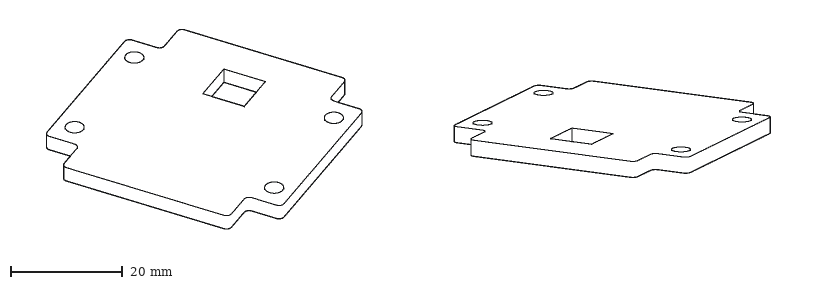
import cadquery as cq

length = 47.5
width = 46.5
thickness = 3.0
corner_notch = 7.0
corner_radius = 1.0

hole_diameter = 3.4
hole_spacing_x = 40.0
hole_spacing_y = 23.5

window_side = 8.3
window_y = hole_spacing_y / 2


def make_plate():
    """Cross-shaped plate with every vertical edge rounded."""
    long_arm = cq.Workplane("XY").box(length, width - 2 * corner_notch, thickness)
    wide_arm = cq.Workplane("XY").box(length - 2 * corner_notch, width, thickness)
    return long_arm.union(wide_arm).edges("|Z").fillet(corner_radius)


def drill_holes(plate):
    """Four round mounting holes through the plate."""
    return (
        plate.faces(">Z")
        .workplane(origin=(0, 0, 0))
        .rarray(hole_spacing_x, hole_spacing_y, 2, 2)
        .hole(hole_diameter)
    )


def cut_window(plate):
    """Square window through the plate."""
    window = cq.Workplane("XY").box(window_side, window_side, thickness)
    return plate.cut(window.translate((0, window_y, 0)))


result = cut_window(drill_holes(make_plate()))